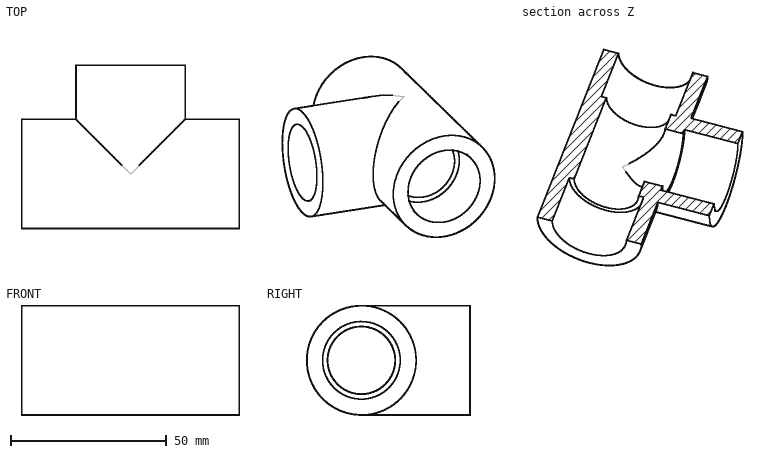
import cadquery as cq

run_length = 70.0
outer_diameter = 35.2
socket_diameter = 25.0
bore_diameter = 21.7
socket_depth = 18.0

reach = run_length / 2


def run_cylinder(diameter, start, length):
    """Cylinder along X, beginning at X = start."""
    return cq.Workplane("YZ").workplane(offset=start).circle(diameter / 2).extrude(length)


def branch_cylinder(diameter, start, length):
    """Cylinder along Y, beginning at Y = start."""
    return cq.Workplane("XZ").workplane(offset=-start).circle(diameter / 2).extrude(-length)


body = run_cylinder(outer_diameter, -reach, run_length)
body = body.union(branch_cylinder(outer_diameter, 0, reach))

body = body.cut(run_cylinder(bore_diameter, -reach, run_length))
body = body.cut(branch_cylinder(bore_diameter, 0, reach))

socket_start = reach - socket_depth
for start in (-reach, socket_start):
    body = body.cut(run_cylinder(socket_diameter, start, socket_depth))
result = body.cut(branch_cylinder(socket_diameter, socket_start, socket_depth))